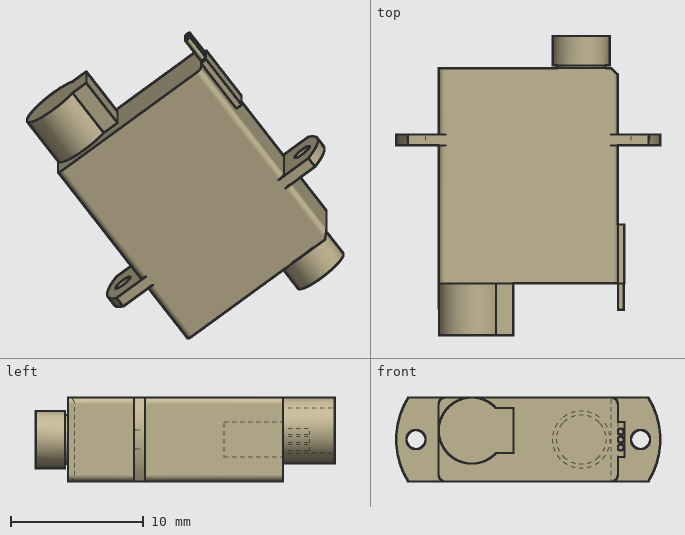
import cadquery as cq

case_width = 13.51
case_depth = 16.25
case_height = 6.35
case_corner_radius = 0.5
rear_chamfer = 0.5

flange_span = 19.95
flange_straight_span = 18.13
flange_front = 10.42
flange_thickness = 0.84
mount_hole_spacing = 16.95
mount_hole_diameter = 1.42

boss_diameter = 5.0
boss_length = 3.9
boss_x = (boss_diameter - case_width) / 2
boss_z = (case_height - boss_diameter) / 2
boss_block_end = -1.13
boss_block_height = 3.4

shaft_x = 4.0
neck_diameter = 3.73
neck_length = 0.2
cap_diameter = 4.35
overall_depth = 22.6
cap_length = overall_depth - boss_length - case_depth - neck_length

connector_projection = 0.5
connector_height = 2.67
connector_depth = 4.45
wire_diameter = 0.45
wire_length = 2.0
wire_pitch = 0.6
wire_x = case_width / 2 + wire_diameter / 2


def section(y):
    """XZ sketch plane at depth y, extruding towards +Y."""
    return cq.Workplane(cq.Plane(origin=(0, y, 0), xDir=(1, 0, 0), normal=(0, 1, 0)))


def cylinder(x, z, diameter, start, length):
    """Cylinder along +Y; the sketch plane's second axis points to -Z."""
    return section(start).center(x, -z).circle(diameter / 2).extrude(length)


def make_case():
    case = section(0).rect(case_width, case_height).extrude(case_depth)
    case = case.edges("|Y").fillet(case_corner_radius)
    right = case_width / 2
    corner_cut = (
        cq.Workplane("XY")
        .moveTo(right - rear_chamfer, case_depth)
        .lineTo(right, case_depth)
        .lineTo(right, case_depth - rear_chamfer)
        .close()
        .extrude(case_height / 2, both=True)
    )
    return case.cut(corner_cut)


def make_flange():
    half_straight = flange_straight_span / 2
    half_height = case_height / 2
    return (
        section(flange_front)
        .moveTo(-half_straight, -half_height)
        .lineTo(half_straight, -half_height)
        .threePointArc((flange_span / 2, 0), (half_straight, half_height))
        .lineTo(-half_straight, half_height)
        .threePointArc((-flange_span / 2, 0), (-half_straight, -half_height))
        .close()
        .pushPoints([(side * mount_hole_spacing / 2, 0) for side in (-1, 1)])
        .circle(mount_hole_diameter / 2)
        .extrude(flange_thickness)
    )


def make_boss():
    block_width = boss_block_end - boss_x
    block = (
        section(-boss_length)
        .center(boss_x + block_width / 2, -boss_z)
        .rect(block_width, boss_block_height)
        .extrude(boss_length)
    )
    return cylinder(boss_x, boss_z, boss_diameter, -boss_length, boss_length).union(block)


def make_shaft():
    neck = cylinder(shaft_x, 0, neck_diameter, case_depth, neck_length)
    cap = cylinder(shaft_x, 0, cap_diameter, case_depth + neck_length, cap_length)
    return neck.union(cap)


def make_connector():
    connector = (
        section(0)
        .center(case_width / 2, 0)
        .rect(2 * connector_projection, connector_height)
        .extrude(connector_depth)
    )
    for position in (-1, 0, 1):
        wire = cylinder(wire_x, position * wire_pitch, wire_diameter, -wire_length, wire_length)
        connector = connector.union(wire)
    return connector


result = (
    make_case()
    .union(make_flange())
    .union(make_boss())
    .union(make_shaft())
    .union(make_connector())
)